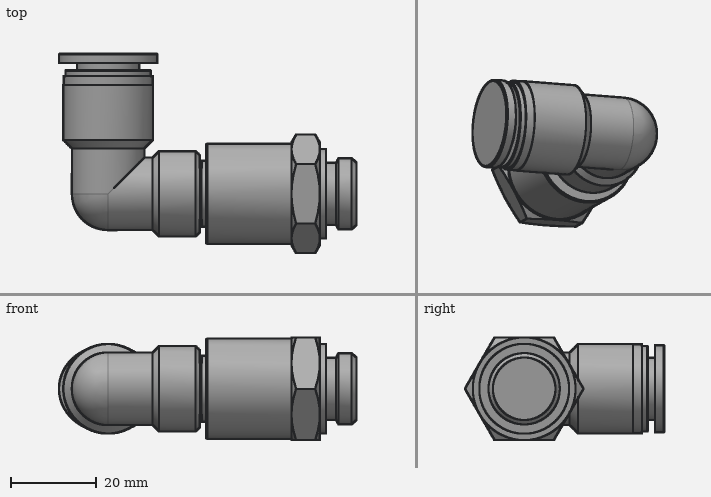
import cadquery as cq
import math


leg_radius = 8.5
tube_sleeve_radius = 10.5
tube_sleeve_start = 12.6
tube_sleeve_end = 25.4
swivel_sleeve_radius = 10.0
swivel_sleeve_start = 11.9
swivel_sleeve_end = 21.4
swivel_sleeve_chamfer = 1.0
spigot_radius = 12.2 / 2

guide_radius = 20.85 / 2
guide_lip_radius = 20.0 / 2
guide_step = 27.5
guide_end = 28.9
guide_lip_chamfer = 0.2

button_neck_radius = 14.6 / 2
button_half_width = 11.5
button_half_height = 10.2
button_start = 30.5
button_end = 32.8
button_chamfer = 0.3

hex_across_flats = 24.0
hex_start = 42.8
hex_end = 49.4
hex_chamfer_angle = 30.0
collar_radius = 15.5 / 2
collar_start = 21.8
barrel_radius = 23.5 / 2
barrel_start = 22.8
barrel_chamfer_length = 0.45
barrel_chamfer_depth = 0.25
flange_radius = 21.0 / 2
flange_end = 50.9
thread_radius = 16.66 / 2
thread_root_radius = 14.6 / 2
thread_start = 53.2
thread_end = 58.0
thread_lead_in_length = 1.2
thread_runout_length = (thread_radius - thread_root_radius) * math.tan(math.radians(30))


def turned_along_x(profile):
    """Revolve (x, radius) points about the X axis."""
    return cq.Workplane("XY").polyline(profile).close().revolve(360, (0, 0, 0), (1, 0, 0))


def turned_along_y(profile):
    """Revolve (radius, y) points about the Y axis."""
    return cq.Workplane("XY").polyline(profile).close().revolve(360, (0, 0, 0), (0, 1, 0))


def make_elbow():
    """Two sleeved legs joined by a ball corner, with a spigot for the housing."""
    tube_cone_start = tube_sleeve_start - (tube_sleeve_radius - leg_radius)
    tube_leg = turned_along_y([
        (0, 0),
        (leg_radius, 0),
        (leg_radius, tube_cone_start),
        (tube_sleeve_radius, tube_sleeve_start),
        (tube_sleeve_radius, tube_sleeve_end),
        (0, tube_sleeve_end),
    ])
    swivel_cone_start = swivel_sleeve_start - (swivel_sleeve_radius - leg_radius)
    swivel_leg = turned_along_x([
        (0, 0),
        (0, leg_radius),
        (swivel_cone_start, leg_radius),
        (swivel_sleeve_start, swivel_sleeve_radius),
        (swivel_sleeve_end - swivel_sleeve_chamfer, swivel_sleeve_radius),
        (swivel_sleeve_end, swivel_sleeve_radius - swivel_sleeve_chamfer),
        (swivel_sleeve_end, spigot_radius),
        (barrel_start, spigot_radius),
        (barrel_start, 0),
    ])
    corner = cq.Workplane("XY").sphere(leg_radius)
    return tube_leg.union(swivel_leg).union(corner)


def make_guide():
    """Stepped ring seated on the tube sleeve, bored for the button's neck."""
    return turned_along_y([
        (button_neck_radius, tube_sleeve_end),
        (guide_radius, tube_sleeve_end),
        (guide_radius, guide_step),
        (guide_lip_radius, guide_step),
        (guide_lip_radius, guide_end - guide_lip_chamfer),
        (guide_lip_radius - guide_lip_chamfer, guide_end),
        (button_neck_radius, guide_end),
    ])


def make_release_button():
    """Oval head on a round neck that passes through the guide."""
    neck = turned_along_y([
        (0, tube_sleeve_end),
        (button_neck_radius, tube_sleeve_end),
        (button_neck_radius, button_start),
        (0, button_start),
    ])
    head = (
        cq.Workplane("XZ", origin=(0, button_start, 0))
        .ellipse(button_half_width, button_half_height)
        .extrude(button_start - button_end)
        .faces(">Y")
        .chamfer(button_chamfer)
    )
    return neck.union(head)


def make_hex():
    """Hexagon with corners on +Y and -Y, its corners chamfered at both ends."""
    flat_radius = hex_across_flats / 2
    corner_radius = flat_radius / math.cos(math.radians(30))
    chamfer_length = (corner_radius - flat_radius) * math.tan(math.radians(hex_chamfer_angle))
    prism = (
        cq.Workplane("YZ", origin=(hex_start, 0, 0))
        .polygon(6, 2 * corner_radius)
        .extrude(hex_end - hex_start)
    )
    chamfer_envelope = turned_along_x([
        (hex_start, 0),
        (hex_start, flat_radius),
        (hex_start + chamfer_length, corner_radius),
        (hex_end - chamfer_length, corner_radius),
        (hex_end, flat_radius),
        (hex_end, 0),
    ])
    return prism.intersect(chamfer_envelope)


def make_housing():
    """Barrel, hexagon and threaded end, with a socket for the elbow's spigot."""
    turned_body = turned_along_x([
        (collar_start, spigot_radius),
        (collar_start, collar_radius),
        (barrel_start, collar_radius),
        (barrel_start, barrel_radius - barrel_chamfer_depth),
        (barrel_start + barrel_chamfer_length, barrel_radius),
        (hex_end, barrel_radius),
        (hex_end, flange_radius),
        (flange_end, flange_radius),
        (flange_end, thread_root_radius),
        (thread_start, thread_root_radius),
        (thread_start + thread_runout_length, thread_radius),
        (thread_end - thread_lead_in_length, thread_radius),
        (thread_end, thread_root_radius),
        (thread_end, 0),
        (barrel_start, 0),
        (barrel_start, spigot_radius),
    ])
    return turned_body.union(make_hex())


elbow = make_elbow()
guide = make_guide()
release_button = make_release_button()
housing = make_housing()

result = cq.Compound.makeCompound([
    elbow.val(),
    guide.val(),
    release_button.val(),
    housing.val(),
])